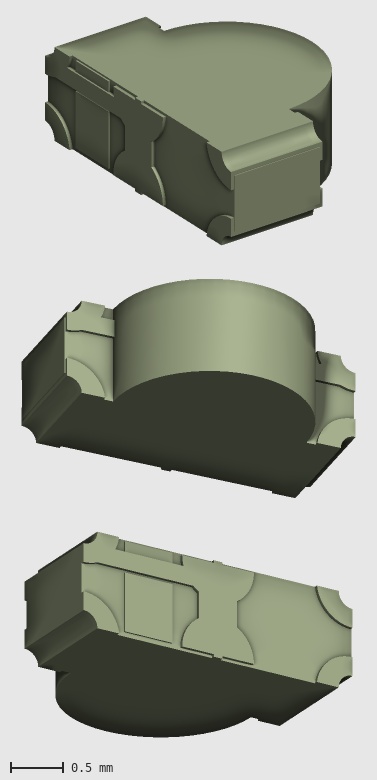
import cadquery as cq


board_length = 2.99
board_depth = 1.002
thickness = 1.0
notch_radius = 0.153
end_plate_height = 0.6
end_plate_projection = 0.01

lens_radius = 1.002

copper = 0.035
pad_radius = 0.4
corner_pad_overhang = 0.05
centre_pad_inset = 0.027
neck_width = 0.425
tab_width = 0.095
strip_bottom = 0.183
strip_top = 0.363

mask = 0.018
mask_left = -1.025
mask_right = -0.498
upper_mask_top = 0.48
lower_mask_top = 0.155
lower_mask_bottom = -0.453

half_length = board_length / 2
half_thickness = thickness / 2
solder_face = -board_depth / 2
lens_face = board_depth / 2


def block(x0, x1, y0, y1, z0, z1):
    """Box between two opposite corners."""
    return cq.Workplane("XY").box(x1 - x0, y1 - y0, z1 - z0, centered=False).translate((x0, y0, z0))


def disc(x, z, radius, y0, y1):
    """Round disc with its axis along Y."""
    return cq.Workplane("XZ", origin=(x, y0, z)).circle(radius).extrude(y0 - y1)


def full_layer(y0, y1):
    """Board outline, a rectangle with a concave quarter round at each corner."""
    layer = block(-half_length, half_length, y0, y1, -half_thickness, half_thickness)
    for x in (-half_length, half_length):
        for z in (-half_thickness, half_thickness):
            layer = layer.cut(disc(x, z, notch_radius, y0, y1))
    return layer


def corner_pads(y0, y1):
    """Four round pads centred just above and below the board corners."""
    centre_z = half_thickness + corner_pad_overhang
    discs = cq.Workplane("XY")
    for x in (-half_length, half_length):
        for z in (-centre_z, centre_z):
            discs = discs.add(disc(x, z, pad_radius, y0, y1))
    return discs.combine().intersect(full_layer(y0, y1))


def centre_pad(y0, y1):
    """Two half discs joined by a neck, with a narrow tab to the top and bottom edges."""
    half_height = half_thickness - centre_pad_inset
    lobes = disc(0, half_height, pad_radius, y0, y1).union(disc(0, -half_height, pad_radius, y0, y1))
    lobes = lobes.intersect(block(-pad_radius, pad_radius, y0, y1, -half_height, half_height))
    neck = block(-neck_width / 2, neck_width / 2, y0, y1, -half_height, half_height)
    tab = block(-tab_width / 2, tab_width / 2, y0, y1, -half_thickness, half_thickness)
    return lobes.union(neck).union(tab)


def solder_copper():
    """Corner pads and centre pad, with a strip from the upper left corner pad to the centre."""
    y0 = solder_face - copper
    y1 = solder_face
    strip = block(-half_length + notch_radius, 0, y0, y1, strip_bottom, strip_top)
    return corner_pads(y0, y1).union(strip).union(centre_pad(y0, y1))


def lens_copper():
    """Corner pads, with a strip joining the upper two behind the lens."""
    y0 = lens_face
    y1 = lens_face + copper
    strip_end = half_length - notch_radius
    return corner_pads(y0, y1).union(block(-strip_end, strip_end, y0, y1, strip_bottom, strip_top))


def polarity_mark():
    """Two mask patches on the solder face, thinner than the copper."""
    y0 = solder_face - mask
    upper = block(mask_left, mask_right, y0, solder_face, strip_top, upper_mask_top)
    lower = block(mask_left, mask_right, y0, solder_face, lower_mask_bottom, lower_mask_top)
    return upper.union(lower)


def end_plate():
    """Bare board standing slightly proud of the copper at the +X end."""
    half_height = end_plate_height / 2
    tip = half_length + end_plate_projection
    return block(0, tip, solder_face, lens_face, -half_height, half_height)


def lens():
    """Half cylinder with its axis along Z, its flat side on the board."""
    half_disc = (
        cq.Workplane("XY", origin=(0, 0, -half_thickness))
        .moveTo(-lens_radius, lens_face)
        .threePointArc((0, lens_face + lens_radius), (lens_radius, lens_face))
        .close()
    )
    return half_disc.extrude(thickness)


result = full_layer(solder_face, lens_face)
for feature in (solder_copper(), lens_copper(), polarity_mark(), end_plate(), lens()):
    result = result.union(feature)